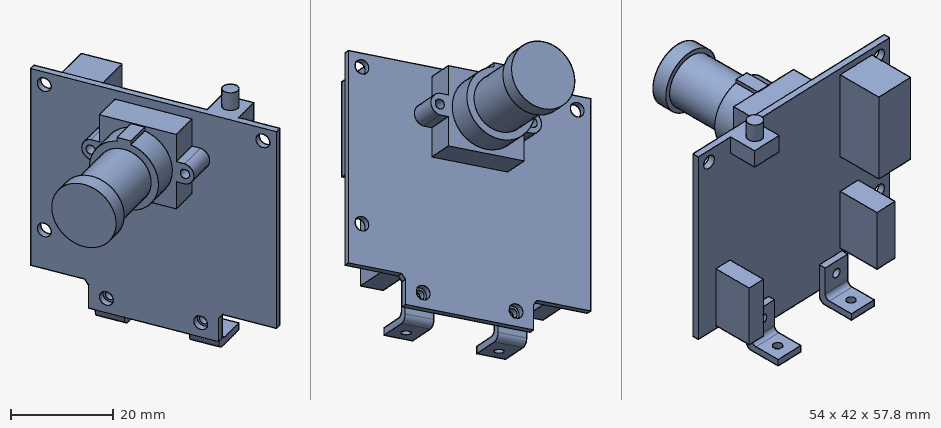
import cadquery as cq


BOARD_WIDTH = 54.0
BOARD_THICKNESS = 1.5
BOARD_TOP = 53.8
SHOULDER_Z = BOARD_TOP - 44.6
TONGUE_BOTTOM = BOARD_TOP - 51.0
TONGUE_WIDTH = 28.55
SHOULDER_BEVEL_X = 0.85
SHOULDER_BEVEL_Z = 1.1
MOUNT_HOLE_DIAMETER = 3.0
MOUNT_HOLE_X = 24.0
MOUNT_HOLE_UPPER_Z = BOARD_TOP - 2.9
MOUNT_HOLE_LOWER_Z = BOARD_TOP - 35.85
FIXING_X = 10.35

LENS_Z = BOARD_TOP - 10.45
SCREW_HOLE_DIAMETER = 2.0
HOLDER_SIDE = 16.9
HOLDER_DEPTH = 6.75
EAR_HEIGHT = 4.55
EAR_ARC_X = 10.3
EAR_TIP_X = 12.3
COLLAR_DIAMETER = 15.15
COLLAR_LENGTH = 6.0
KEY_WIDTH = 3.05
KEY_TOP = LENS_Z + 8.25
BARREL_DIAMETER = 11.95
BARREL_LENGTH = 13.75
CAP_DIAMETER = 14.1
CAP_LENGTH = 3.5

CONNECTOR_LEFT = -21.95
CONNECTOR_RIGHT = -13.0
CONNECTOR_DEPTH = 10.5
CONNECTOR_TOP = BOARD_TOP - 1.5
CONNECTOR_BOTTOM = BOARD_TOP - 21.5
HEADER_INNER_X = 18.1
HEADER_OUTER_X = 22.1
HEADER_DEPTH = 9.1
SOCKET_LEFT = -18.1
SOCKET_DEPTH = 10.0
SOCKET_TOP = BOARD_TOP - 30.0
SOCKET_BOTTOM = BOARD_TOP - 43.85
SWITCH_X = 14.45
SWITCH_WIDTH = 6.95
SWITCH_DEPTH = 6.55
SWITCH_HEIGHT = 4.0
BUTTON_DIAMETER = 3.4
BUTTON_LENGTH = 57.8 - BOARD_TOP

BRACKET_WIDTH = 6.4
BRACKET_THICKNESS = 1.55
BRACKET_TOP = BOARD_TOP - 44.8
BRACKET_REACH = 8.7
BEND_OUTER_RADIUS = 1.5
BEND_INNER_RADIUS = 1.15
FIXING_Z = BOARD_TOP - 47.75
FOOT_HOLE_Y = 5.5


def front_plane(y):
    """XZ sketch plane at the given Y, with its normal pointing to -Y."""
    return cq.Workplane("XZ", origin=(0, y, 0))


def back_block(left, right, bottom, top, depth):
    """Rectangular component standing on the back face of the board."""
    return cq.Workplane("XY").box(right - left, depth, top - bottom, centered=False).translate((left, 0, bottom))


def make_board():
    """Plain board with a bevelled tongue at the bottom and its through holes."""
    half_width = BOARD_WIDTH / 2
    half_tongue = TONGUE_WIDTH / 2
    bevel_x = half_tongue + SHOULDER_BEVEL_X
    bevel_z = SHOULDER_Z - SHOULDER_BEVEL_Z
    board = (
        front_plane(0)
        .moveTo(-half_width, BOARD_TOP)
        .lineTo(half_width, BOARD_TOP)
        .lineTo(half_width, SHOULDER_Z)
        .lineTo(bevel_x, SHOULDER_Z)
        .lineTo(half_tongue, bevel_z)
        .lineTo(half_tongue, TONGUE_BOTTOM)
        .lineTo(-half_tongue, TONGUE_BOTTOM)
        .lineTo(-half_tongue, bevel_z)
        .lineTo(-bevel_x, SHOULDER_Z)
        .lineTo(-half_width, SHOULDER_Z)
        .close()
        .extrude(BOARD_THICKNESS)
    )
    hole_centres = [
        (-MOUNT_HOLE_X, MOUNT_HOLE_UPPER_Z),
        (MOUNT_HOLE_X, MOUNT_HOLE_UPPER_Z),
        (-MOUNT_HOLE_X, MOUNT_HOLE_LOWER_Z),
        (-FIXING_X, FIXING_Z),
        (FIXING_X, FIXING_Z),
    ]
    holes = front_plane(0).pushPoints(hole_centres).circle(MOUNT_HOLE_DIAMETER / 2).extrude(BOARD_THICKNESS)
    return board.cut(holes)


def make_lens():
    """Square holder with two drilled ears, keyed collar, barrel and end cap."""
    holder_back = -BOARD_THICKNESS
    collar_back = holder_back - HOLDER_DEPTH
    barrel_back = collar_back - COLLAR_LENGTH
    cap_back = barrel_back - BARREL_LENGTH
    ear_top = LENS_Z + EAR_HEIGHT / 2
    ear_bottom = LENS_Z - EAR_HEIGHT / 2

    holder = front_plane(holder_back).center(0, LENS_Z).rect(HOLDER_SIDE, HOLDER_SIDE).extrude(HOLDER_DEPTH)
    ears = (
        front_plane(holder_back)
        .moveTo(-EAR_ARC_X, ear_top)
        .lineTo(EAR_ARC_X, ear_top)
        .threePointArc((EAR_TIP_X, LENS_Z), (EAR_ARC_X, ear_bottom))
        .lineTo(-EAR_ARC_X, ear_bottom)
        .threePointArc((-EAR_TIP_X, LENS_Z), (-EAR_ARC_X, ear_top))
        .close()
        .extrude(HOLDER_DEPTH)
    )
    ear_holes = (
        front_plane(holder_back)
        .pushPoints([(-FIXING_X, LENS_Z), (FIXING_X, LENS_Z)])
        .circle(SCREW_HOLE_DIAMETER / 2)
        .extrude(HOLDER_DEPTH)
    )
    collar = front_plane(collar_back).center(0, LENS_Z).circle(COLLAR_DIAMETER / 2).extrude(COLLAR_LENGTH)
    key_height = KEY_TOP - LENS_Z
    key = (
        front_plane(collar_back)
        .center(0, LENS_Z + key_height / 2)
        .rect(KEY_WIDTH, key_height)
        .extrude(COLLAR_LENGTH)
    )
    barrel = front_plane(barrel_back).center(0, LENS_Z).circle(BARREL_DIAMETER / 2).extrude(BARREL_LENGTH)
    cap = front_plane(cap_back).center(0, LENS_Z).circle(CAP_DIAMETER / 2).extrude(CAP_LENGTH)
    return holder.union(ears).cut(ear_holes).union(collar).union(key).union(barrel).union(cap)


def make_switch():
    """Push switch flush with the top of the board, its button pointing up."""
    half_width = SWITCH_WIDTH / 2
    housing = back_block(
        SWITCH_X - half_width, SWITCH_X + half_width, BOARD_TOP - SWITCH_HEIGHT, BOARD_TOP, SWITCH_DEPTH
    )
    button = (
        cq.Workplane("XY", origin=(SWITCH_X, SWITCH_DEPTH / 2, BOARD_TOP))
        .circle(BUTTON_DIAMETER / 2)
        .extrude(BUTTON_LENGTH)
    )
    return housing.union(button)


def make_camera_board():
    """The board with its lens and all its rear components, as one body."""
    connector = back_block(CONNECTOR_LEFT, CONNECTOR_RIGHT, CONNECTOR_BOTTOM, CONNECTOR_TOP, CONNECTOR_DEPTH)
    header = back_block(HEADER_INNER_X, HEADER_OUTER_X, SOCKET_BOTTOM, SOCKET_TOP, HEADER_DEPTH)
    socket = back_block(SOCKET_LEFT, CONNECTOR_RIGHT, SOCKET_BOTTOM, SOCKET_TOP, SOCKET_DEPTH)
    body = make_board().union(make_lens()).union(make_switch())
    return body.union(connector).union(header).union(socket)


def make_bracket(centre_x):
    """Bent angle bracket against the back of the board, one hole in each leg."""
    bracket = (
        cq.Workplane("YZ", origin=(centre_x - BRACKET_WIDTH / 2, 0, 0))
        .moveTo(0, BRACKET_TOP)
        .lineTo(0, BEND_OUTER_RADIUS)
        .radiusArc((BEND_OUTER_RADIUS, 0), -BEND_OUTER_RADIUS)
        .lineTo(BRACKET_REACH, 0)
        .lineTo(BRACKET_REACH, BRACKET_THICKNESS)
        .lineTo(BRACKET_THICKNESS + BEND_INNER_RADIUS, BRACKET_THICKNESS)
        .radiusArc((BRACKET_THICKNESS, BRACKET_THICKNESS + BEND_INNER_RADIUS), BEND_INNER_RADIUS)
        .lineTo(BRACKET_THICKNESS, BRACKET_TOP)
        .close()
        .extrude(BRACKET_WIDTH)
    )
    hole_radius = SCREW_HOLE_DIAMETER / 2
    wall_hole = (
        front_plane(BRACKET_THICKNESS)
        .center(centre_x, FIXING_Z)
        .circle(hole_radius)
        .extrude(BRACKET_THICKNESS)
    )
    foot_hole = (
        cq.Workplane("XY", origin=(centre_x, FOOT_HOLE_Y, 0))
        .circle(hole_radius)
        .extrude(BRACKET_THICKNESS)
    )
    return bracket.cut(wall_hole).cut(foot_hole)


camera_board = make_camera_board()
brackets = [make_bracket(side * FIXING_X) for side in (-1, 1)]

result = cq.Compound.makeCompound([camera_board.val(), *[bracket.val() for bracket in brackets]])